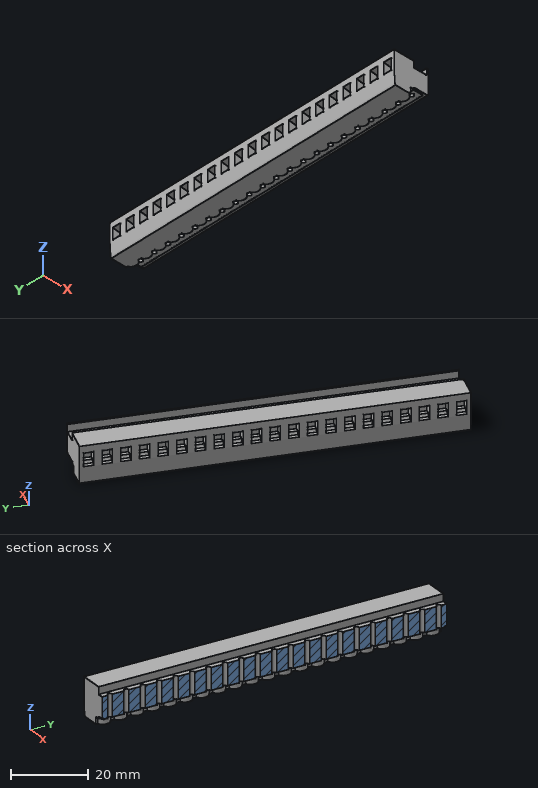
import cadquery as cq

length = 105.0
width = 12.4
height = 11.3
positions = 21
pitch = length / positions

head_width = 7.2
channel_drop = 2.2
lip_thickness = 0.6
ledge_drop = 8.6
ledge_chamfer = 0.3
skirt_width = 6.0
shoulder_drop = 9.2
taper_drop = 6.4
taper_inset = 0.28
foot_height = 0.6
foot_inset = 0.47

pad_width = 3.7
pad_thickness = 0.3
pad_end_gap = 0.5

rib_radius = 2.1
rib_center_x = head_width - rib_radius

hole_diameter = 1.4
hole_x = 8.8

entry_width = 2.7
entry_depth = 2.6
entry_top_drop = 2.2
entry_back_top_drop = 2.5
entry_floor_drop = 5.1
ramp_drop = 6.2
ramp_length = 0.9
ramp_rise = 0.2
step_length = 0.4
step_sag = 0.1

position_centers = [(index + 0.5) * pitch for index in range(positions)]


def make_body():
    outline = [
        (0, height),
        (head_width, height),
        (head_width, height - channel_drop),
        (width - lip_thickness, height - channel_drop),
        (width - lip_thickness, height),
        (width, height),
        (width, height - ledge_drop + ledge_chamfer),
        (width - ledge_chamfer, height - ledge_drop),
        (head_width, height - ledge_drop),
        (head_width, height - shoulder_drop),
        (skirt_width, height - shoulder_drop),
        (skirt_width, 0),
        (foot_inset, 0),
        (taper_inset, foot_height),
        (0, height - taper_drop),
    ]
    return cq.Workplane("XZ").polyline(outline).close().extrude(-length)


def make_pad():
    pad_length = length - 2 * pad_end_gap
    pad_bottom = height - ledge_drop - pad_thickness
    pad = cq.Workplane("XY").box(pad_width, pad_length, pad_thickness, centered=False)
    return pad.translate((head_width, pad_end_gap, pad_bottom))


def make_rib(center_y):
    plane = cq.Workplane("XY", origin=(rib_center_x, center_y, 0))
    return plane.circle(rib_radius).extrude(height - shoulder_drop)


def make_entry(center_y):
    """Pocket with a sloping ceiling, a ramp at its mouth and a hollow-curved step up to a flat floor."""
    ramp_end = (ramp_length, height - ramp_drop + ramp_rise)
    floor_start = (ramp_length + step_length, height - entry_floor_drop)
    return (
        cq.Workplane("XZ", origin=(0, center_y - entry_width / 2, 0))
        .moveTo(0, height - entry_top_drop)
        .lineTo(entry_depth, height - entry_back_top_drop)
        .lineTo(entry_depth, height - entry_floor_drop)
        .lineTo(*floor_start)
        .sagittaArc(ramp_end, step_sag)
        .lineTo(0, height - ramp_drop)
        .close()
        .extrude(-entry_width)
    )


def make_hole(center_y):
    return cq.Workplane("XY", origin=(hole_x, center_y, 0)).circle(hole_diameter / 2).extrude(height)


result = make_body().union(make_pad())
for y in position_centers:
    result = result.union(make_rib(y)).cut(make_entry(y)).cut(make_hole(y))